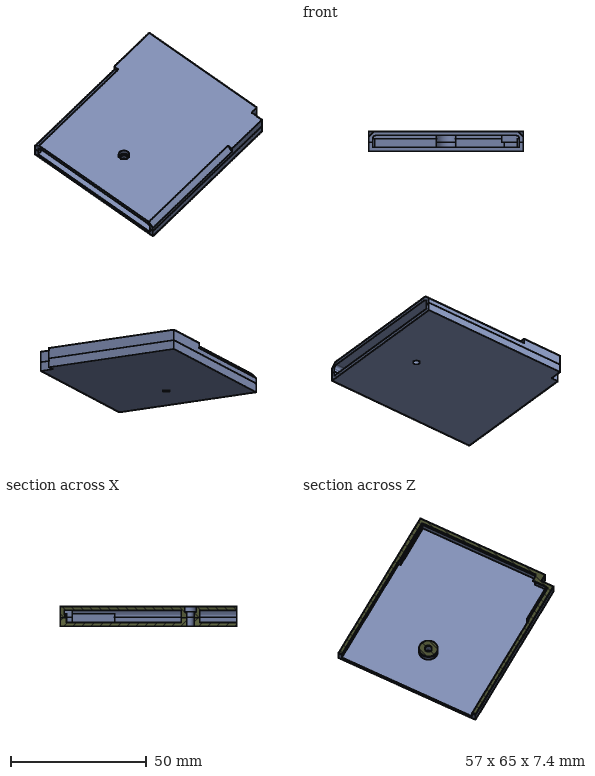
import cadquery as cq

WIDTH = 57.0
LENGTH = 65.0
HEIGHT = 7.4
HALF_WIDTH = WIDTH / 2

WALL = 1.5
SPLIT_Z = 3.4
CEILING_Z = HEIGHT - WALL
CAVITY_HALF_WIDTH = HALF_WIDTH - WALL
CAVITY_LENGTH = LENGTH - WALL
CAVITY_FILLET = 1.25

EDGE_CHAMFER = 2.0
SHOULDER_Y = 45.0

NOTCH_WIDTH = 5.0
NOTCH_DEPTH = 3.0
COVER_CORNER_WIDTH = 8.0
BASE_CORNER_WIDTH = 7.0
CORNER_FRONT_Y = LENGTH - NOTCH_DEPTH - WALL

LIP_THICKNESS = 0.85
LIP_TOP_Z = 4.7
LIP_HALF_WIDTH = CAVITY_HALF_WIDTH - LIP_THICKNESS
LIP_BACK_Y = CAVITY_LENGTH - LIP_THICKNESS

POST_Y = 17.0
POST_DIAMETER = 7.0
SCREW_DIAMETER = 2.5
HEAD_DIAMETER = 4.0
HEAD_DEPTH = 2.0


def block(x_range, y_range, z_range):
    """Axis-aligned box between the given pairs of limits."""
    size = [high - low for low, high in (x_range, y_range, z_range)]
    corner = (x_range[0], y_range[0], z_range[0])
    return cq.Workplane("XY").box(*size, centered=False).translate(corner)


def post_cylinder(diameter, bottom, top):
    """Upright cylinder on the axis of the screw post."""
    return (
        cq.Workplane("XY", origin=(0, POST_Y, bottom))
        .circle(diameter / 2)
        .extrude(top - bottom)
    )


def outer_slab(bottom, top):
    """Full outline of the case between two heights."""
    return block((-HALF_WIDTH, HALF_WIDTH), (0, LENGTH), (bottom, top))


def cavity(bottom, top):
    """Interior space, open at Y = 0."""
    x_range = (-CAVITY_HALF_WIDTH, CAVITY_HALF_WIDTH)
    return block(x_range, (0, CAVITY_LENGTH), (bottom, top))


def solid_corner(width, bottom, top):
    """Filled corner that backs the notch."""
    x_range = (HALF_WIDTH - width, HALF_WIDTH)
    return block(x_range, (CORNER_FRONT_Y, LENGTH), (bottom, top))


def notch():
    x_range = (HALF_WIDTH - NOTCH_WIDTH, HALF_WIDTH)
    return block(x_range, (LENGTH - NOTCH_DEPTH, LENGTH), (0, HEIGHT))


def edge_slope(side):
    """Wedge removed from one long top edge; side is -1 or +1."""
    edge_x = side * HALF_WIDTH
    return (
        cq.Workplane("XZ")
        .moveTo(edge_x, HEIGHT)
        .lineTo(edge_x - side * EDGE_CHAMFER, HEIGHT)
        .lineTo(edge_x, HEIGHT - EDGE_CHAMFER)
        .close()
        .extrude(-SHOULDER_Y)
    )


def lip():
    """U-shaped lip along the closed end and the sides behind the shoulders."""
    z_range = (WALL, LIP_TOP_Z)
    outer = block((-CAVITY_HALF_WIDTH, CAVITY_HALF_WIDTH), (SHOULDER_Y, CAVITY_LENGTH), z_range)
    inner = block((-LIP_HALF_WIDTH, LIP_HALF_WIDTH), (SHOULDER_Y, LIP_BACK_Y), z_range)
    return outer.cut(inner).cut(solid_corner(COVER_CORNER_WIDTH, SPLIT_Z, LIP_TOP_Z))


def make_base():
    return (
        outer_slab(0, SPLIT_Z)
        .cut(cavity(WALL, SPLIT_Z))
        .union(solid_corner(BASE_CORNER_WIDTH, 0, SPLIT_Z))
        .union(lip())
        .union(post_cylinder(POST_DIAMETER, WALL, SPLIT_Z))
        .cut(notch())
        .cut(post_cylinder(SCREW_DIAMETER, 0, SPLIT_Z))
    )


def make_cover():
    rounded_cavity = cavity(SPLIT_Z, CEILING_Z).edges("|Y and >Z").fillet(CAVITY_FILLET)
    cover = (
        outer_slab(SPLIT_Z, HEIGHT)
        .cut(rounded_cavity)
        .union(solid_corner(COVER_CORNER_WIDTH, SPLIT_Z, HEIGHT))
        .union(post_cylinder(POST_DIAMETER, SPLIT_Z, CEILING_Z))
        .cut(notch())
        .cut(post_cylinder(SCREW_DIAMETER, SPLIT_Z, HEIGHT))
        .cut(post_cylinder(HEAD_DIAMETER, HEIGHT - HEAD_DEPTH, HEIGHT))
    )
    for side in (-1, 1):
        cover = cover.cut(edge_slope(side))
    return cover


base = make_base()
cover = make_cover()

result = cq.Compound.makeCompound([base.solids().val(), cover.solids().val()])